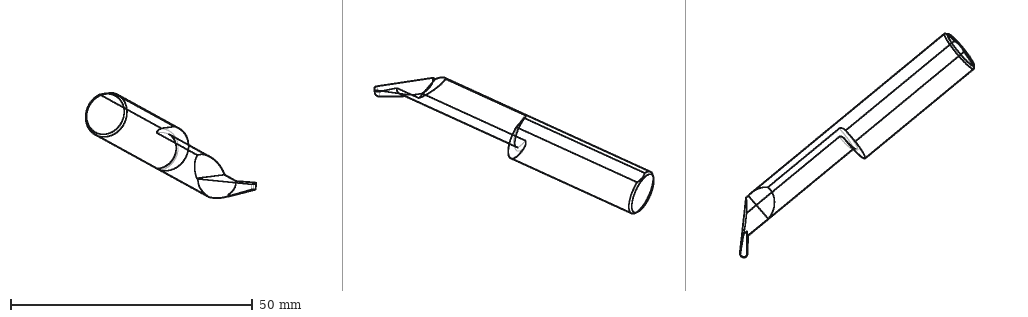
import cadquery as cq
import math

overall_length = 63.0
shank_radius = 4.755
shank_length = 29.9
flat_height = 4.5
end_chamfer = 0.45

neck_diameter = 7.75
neck_center_y = -2.2
neck_fillet = 0.6

ramp_end_x = 53.6
ramp_angle = 46.0
heel_x = 54.2
tip_radius = 0.8
front_angle = 43.6
back_angle = 48.0
relief_angle = 6.0
underside_start_x = 57.3
underside_end_z = -1.0

neck_radius = neck_diameter / 2
front_cos = math.cos(math.radians(front_angle))
front_sin = math.sin(math.radians(front_angle))
margin = 6.3


def front_face_x(y):
    """X of the front face at rake-face height."""
    return heel_x + (y + shank_radius) * front_cos / front_sin


def make_shank():
    shank = cq.Workplane("YZ").circle(shank_radius).extrude(shank_length)
    shank = shank.faces("<X").chamfer(end_chamfer)
    flat_cut = cq.Workplane("XY").workplane(offset=flat_height)
    flat_cut = flat_cut.rect(2 * overall_length, 2 * shank_radius).extrude(margin)
    return shank.cut(flat_cut)


def make_neck():
    """Revolve the neck with its concave root fillet, then trim it to the shank's round."""
    root_radius = neck_radius + neck_fillet
    fillet_end_x = shank_length + neck_fillet
    fillet_mid_x = fillet_end_x - neck_fillet * math.sqrt(0.5)
    fillet_mid_r = root_radius - neck_fillet * math.sqrt(0.5)
    neck = (
        cq.Workplane("XZ", origin=(0, neck_center_y, 0))
        .moveTo(shank_length, 0)
        .lineTo(shank_length, root_radius)
        .threePointArc((fillet_mid_x, fillet_mid_r), (fillet_end_x, neck_radius))
        .lineTo(overall_length, neck_radius)
        .lineTo(overall_length, 0)
        .close()
        .revolve(360, (0, 0, 0), (1, 0, 0))
    )
    envelope = cq.Workplane("YZ").circle(shank_radius).extrude(overall_length)
    return neck.intersect(envelope)


def make_ramp_cut():
    """Remove everything above the ramp and the rake face."""
    return (
        cq.Workplane("XZ")
        .moveTo(ramp_end_x, 0)
        .lineTo(overall_length + margin, 0)
        .lineTo(overall_length + margin, margin)
        .lineTo(ramp_end_x - margin / math.tan(math.radians(ramp_angle)), margin)
        .close()
        .extrude(margin, both=True)
    )


def make_front_cut():
    """Remove everything ahead of the slanted, relieved front face."""
    front_plane = cq.Plane(
        origin=(heel_x, -shank_radius, 0),
        xDir=(front_cos, front_sin, 0),
        normal=(front_sin, -front_cos, -math.tan(math.radians(relief_angle))),
    )
    return cq.Workplane(front_plane).rect(2 * overall_length, 4 * margin).extrude(4 * margin)


def make_prong():
    """Strip along the front face with a full round at its tip, drafted below the rake face."""
    round_x = overall_length - tip_radius
    front_end_x = round_x + tip_radius * front_sin
    front_end_y = (front_end_x - heel_x) * front_sin / front_cos - shank_radius
    round_y = front_end_y + tip_radius * front_cos
    mid_angle = math.radians((front_angle + back_angle) / 2)
    round_mid = (round_x + tip_radius * math.cos(mid_angle), round_y + tip_radius * math.sin(mid_angle))
    back_end_x = round_x - tip_radius * math.sin(math.radians(back_angle))
    back_end_y = round_y + tip_radius * math.cos(math.radians(back_angle))
    root_y = 0
    back_root_x = back_end_x - (back_end_y - root_y) / math.tan(math.radians(back_angle))
    strip = (
        cq.Workplane("XY")
        .moveTo(front_face_x(root_y), root_y)
        .lineTo(front_end_x, front_end_y)
        .threePointArc(round_mid, (back_end_x, back_end_y))
        .lineTo(back_root_x, root_y)
        .close()
        .extrude(-neck_radius, taper=relief_angle)
    )
    side_outline = (
        cq.Workplane("XZ")
        .moveTo(heel_x, 0)
        .lineTo(heel_x, -neck_radius)
        .lineTo(underside_start_x, -neck_radius)
        .lineTo(overall_length, underside_end_z)
        .lineTo(overall_length, 0)
        .close()
        .extrude(margin, both=True)
    )
    return strip.intersect(side_outline)


neck = make_neck().cut(make_ramp_cut()).cut(make_front_cut())
result = make_shank().union(neck).union(make_prong())